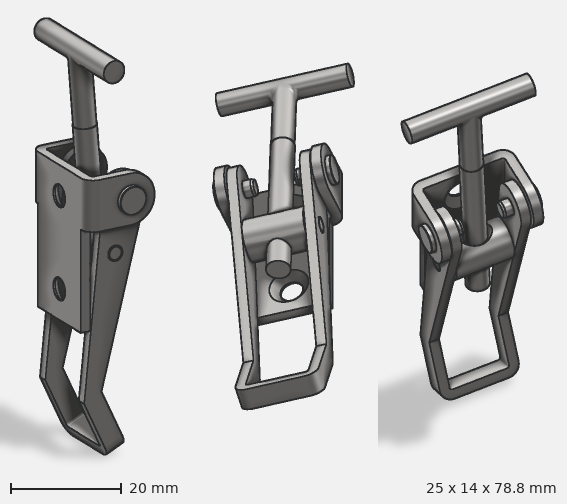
import cadquery as cq
import math


sheet = 2.0
bend_radius = 2.5
inner_bend_radius = bend_radius - sheet

bracket_width = 20.5
bracket_depth = 14.0
bracket_length = 30.0
ear_height = 10.0
ear_radius = ear_height / 2
pivot_y = bracket_depth - ear_radius
plate_width = bracket_width - 2 * bend_radius
mount_hole_diameter = 4.3
mount_hole_edge = 6.0
mount_hole_land = 0.4

lever_width = 15.9
lever_inner_width = lever_width - 2 * sheet
lever_head_radius = 4.5
knee_y = pivot_y - 4.8
knee_z = -37.1
foot_width = 4.0
foot_length = 12.8
foot_angle = 25.0

rivet_head_diameter = 5.4
rivet_head_height = 0.95
rivet_head_chamfer = 0.1
rivet_shank_diameter = 3.2
rivet_tip_x = 3.95
rivet_tip_bevel_length = 0.5
rivet_tip_bevel_depth = 0.15

barrel_y = pivot_y - 1.9
barrel_z = -10.9
barrel_diameter = 8.05
barrel_length = 11.7
barrel_pin_diameter = 3.0
barrel_pin_chamfer = 0.2
countersink_diameter = 6.5

rod_tilt = 4.5
rod_diameter = 4.5
rod_neck_diameter = 4.3
rod_bottom = -9.15
rod_neck_start = 22.8
crossbar_position = 37.3
crossbar_diameter = 4.3
crossbar_length = 25.0
crossbar_fillet = 1.0


def x_cylinder(diameter, length, y, z):
    """Cylinder along X, centred on the middle of the latch."""
    return (
        cq.Workplane("YZ", origin=(-length / 2, y, z))
        .circle(diameter / 2)
        .extrude(length)
    )


def upright_cylinder(diameter, bottom, top):
    return cq.Workplane("XY", origin=(0, 0, bottom)).circle(diameter / 2).extrude(top - bottom)


def along_rod(shape):
    """Move a shape from the upright Z axis onto the tilted axis of the rod."""
    return shape.rotate((0, 0, 0), (1, 0, 0), rod_tilt).translate((0, barrel_y, barrel_z))


def bent_channel(width, depth, corner_radius):
    """Block from Y = 0 backward with its two front vertical edges rounded."""
    return (
        cq.Workplane("XY")
        .box(width, depth, ear_height, centered=(True, False, True))
        .edges("|Z and <Y")
        .fillet(corner_radius)
    )


def mount_hole(z):
    """Cutter for a mounting hole with a 90-degree countersink in the rear of the plate."""
    radius = mount_hole_diameter / 2
    rear_radius = radius + sheet - mount_hole_land
    return (
        cq.Workplane("XY", origin=(0, 0, z))
        .polyline([(0, 0), (radius, 0), (radius, mount_hole_land), (rear_radius, sheet), (0, sheet)])
        .close()
        .revolve(360, (0, 0, 0), (0, 1, 0))
    )


def make_bracket():
    outside = bent_channel(bracket_width, bracket_depth, bend_radius)
    inside = bent_channel(bracket_width - 2 * sheet, bracket_depth, inner_bend_radius)
    channel = outside.cut(inside.translate((0, sheet, 0)))

    ear_outline = (
        cq.Workplane("XY")
        .box(bracket_width, pivot_y, ear_height, centered=(True, False, True))
        .union(x_cylinder(ear_height, bracket_width, pivot_y, 0))
    )

    plate_bottom = ear_radius - bracket_length
    plate = (
        cq.Workplane("XY", origin=(0, 0, plate_bottom))
        .box(plate_width, sheet, bracket_length, centered=(True, False, False))
    )
    mount_holes = [
        mount_hole(z) for z in (ear_radius - mount_hole_edge, plate_bottom + mount_hole_edge)
    ]
    rivet_holes = x_cylinder(rivet_shank_diameter, bracket_width, pivot_y, 0)
    body = channel.intersect(ear_outline).union(plate)
    for hole in mount_holes:
        body = body.cut(hole)
    return body.cut(rivet_holes)


def head_tangent_point(y, z, side):
    """Where a line from (y, z) touches the lever head circle, on the side given as +1 or -1."""
    distance = math.hypot(y - pivot_y, z)
    angle = math.atan2(z, y - pivot_y) + side * math.acos(lever_head_radius / distance)
    return (
        pivot_y + lever_head_radius * math.cos(angle),
        lever_head_radius * math.sin(angle),
    )


def make_lever():
    lean = math.radians(foot_angle)
    forward_y, forward_z = -math.cos(lean), -math.sin(lean)
    down_y, down_z = math.sin(lean), -math.cos(lean)
    front_knee = (knee_y + foot_width * forward_y, knee_z + foot_width * forward_z)
    rear_end = (knee_y + foot_length * down_y, knee_z + foot_length * down_z)
    front_end = (front_knee[0] + foot_length * down_y, front_knee[1] + foot_length * down_z)
    rear_tangent = head_tangent_point(knee_y, knee_z, 1)
    front_tangent = head_tangent_point(*front_knee, -1)
    side_outline = (
        cq.Workplane("YZ", origin=(-lever_width / 2, 0, 0))
        .moveTo(*rear_tangent)
        .lineTo(knee_y, knee_z)
        .lineTo(*rear_end)
        .lineTo(*front_end)
        .lineTo(*front_knee)
        .lineTo(*front_tangent)
        .threePointArc((pivot_y, lever_head_radius), rear_tangent)
        .close()
        .extrude(lever_width)
    )

    foot_plane = cq.Plane(
        origin=(0, *rear_end), xDir=(1, 0, 0), normal=(0, forward_y, forward_z)
    )
    clear_height = foot_length - 2 * knee_z

    def u_block(width, start, corner_radius):
        return (
            cq.Workplane(foot_plane)
            .center(0, start + clear_height / 2)
            .rect(width, clear_height)
            .extrude(clear_height, both=True)
            .edges(cq.selectors.ParallelDirSelector(foot_plane.zDir))
            .fillet(corner_radius)
        )

    outside = u_block(lever_width, 0, bend_radius)
    inside = u_block(lever_inner_width, sheet, inner_bend_radius)
    rivet_holes = x_cylinder(rivet_shank_diameter, lever_width, pivot_y, 0)
    barrel_pin_holes = x_cylinder(barrel_pin_diameter, lever_width, barrel_y, barrel_z)
    return side_outline.intersect(outside).cut(inside).cut(rivet_holes).cut(barrel_pin_holes)


def make_rivet(side):
    """Headed rivet through one ear and one lever arm; side is -1 or +1 along X."""
    ear_face = bracket_width / 2
    head_end = ear_face + rivet_head_height
    head_radius = rivet_head_diameter / 2
    shank_radius = rivet_shank_diameter / 2
    half_section = [
        (rivet_tip_x, 0),
        (rivet_tip_x, shank_radius - rivet_tip_bevel_depth),
        (rivet_tip_x + rivet_tip_bevel_length, shank_radius),
        (ear_face, shank_radius),
        (ear_face, head_radius),
        (head_end - rivet_head_chamfer, head_radius),
        (head_end, head_radius - rivet_head_chamfer),
        (head_end, 0),
    ]
    return (
        cq.Workplane("XY", origin=(0, pivot_y, 0))
        .polyline([(side * x, radius) for x, radius in half_section])
        .close()
        .revolve(360, (0, 0, 0), (1, 0, 0))
    )


def make_barrel():
    pins = x_cylinder(barrel_pin_diameter, lever_width, barrel_y, barrel_z)
    pins = pins.faces("<X or >X").chamfer(barrel_pin_chamfer)
    body = x_cylinder(barrel_diameter, barrel_length, barrel_y, barrel_z)

    rod_hole = upright_cylinder(rod_diameter, -barrel_diameter, barrel_diameter)
    cone_height = countersink_diameter / 2
    countersink = cq.Workplane(
        cq.Solid.makeCone(0, cone_height, cone_height, pnt=(0, 0, barrel_diameter / 2 - cone_height))
    )
    return body.union(pins).cut(along_rod(rod_hole)).cut(along_rod(countersink))


def make_rod():
    crossbar = x_cylinder(crossbar_diameter, crossbar_length, 0, crossbar_position)
    neck = upright_cylinder(rod_neck_diameter, rod_neck_start, crossbar_position)
    joined = crossbar.union(neck)
    seam = joined.edges(
        cq.selectors.BoxSelector(
            (-rod_diameter, -rod_diameter, crossbar_position - crossbar_diameter),
            (rod_diameter, rod_diameter, crossbar_position + crossbar_fillet),
        )
    )
    handle = seam.fillet(crossbar_fillet)
    shank = upright_cylinder(rod_diameter, rod_bottom, rod_neck_start)
    return along_rod(shank.union(handle))


bracket = make_bracket()
lever = make_lever()
rivets = [make_rivet(side) for side in (-1, 1)]
barrel = make_barrel()
rod = make_rod()

result = cq.Compound.makeCompound(
    [bracket.val(), lever.val(), *(rivet.val() for rivet in rivets), barrel.val(), rod.val()]
)